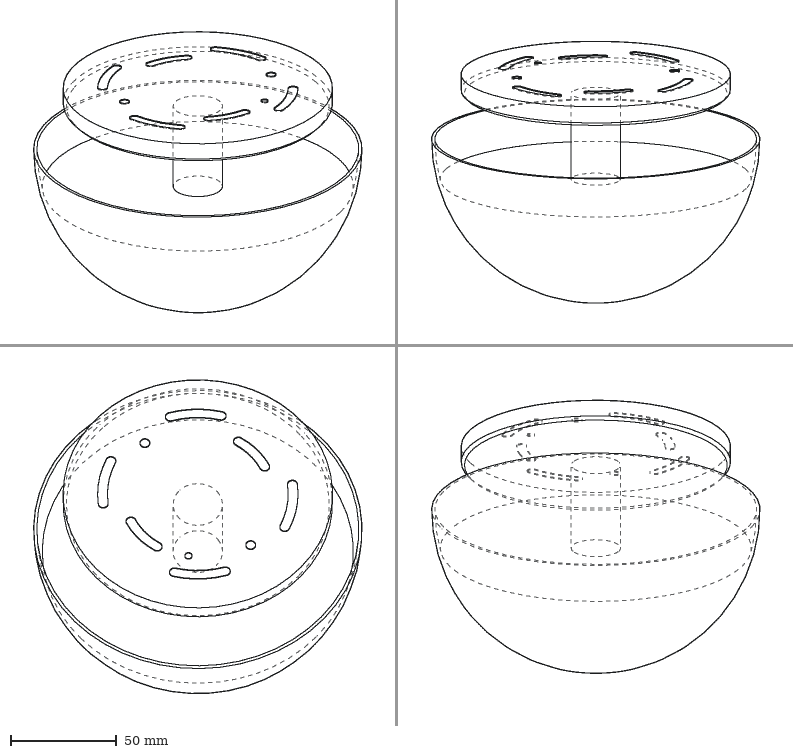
import cadquery as cq
import math

bowl_radius = 77.5
bowl_wall = 1.5
floor_depth = 19.5

total_height = 109.1
plate_radius = 63.5
plate_thickness = 9.5
plate_chamfer = 1.5
post_radius = 11.6
plate_top = total_height - bowl_radius
plate_bottom = plate_top - plate_thickness

recess_depth = 0.5
slot_width = 4.6
slot_half_angle = 15.5
outer_slot_radius = 45.0
outer_slot_angle = 50.0
side_slot_radius = 35.0
screw_hole_radius = 2.3
screw_hole_offset = 37.8
pin_hole_radius = 1.7
pin_hole_position = (26.0, 23.0)


def polar(radius, angle):
    """Point at a radius and an angle in degrees from +X."""
    radians = math.radians(angle)
    return radius * math.cos(radians), radius * math.sin(radians)


def make_bowl():
    """Half ball with a spherical-sided recess ending at a flat floor."""
    lower_half = cq.Workplane("XY").box(
        2 * bowl_radius, 2 * bowl_radius, bowl_radius, centered=(True, True, False)
    ).translate((0, 0, -bowl_radius))
    half_ball = cq.Workplane("XY").sphere(bowl_radius).intersect(lower_half)
    above_floor = cq.Workplane("XY").workplane(offset=-floor_depth).circle(bowl_radius).extrude(floor_depth)
    cavity = cq.Workplane("XY").sphere(bowl_radius - bowl_wall).intersect(above_floor)
    return half_ball.cut(cavity)


def make_plate():
    """Disc with a chamfered lower edge."""
    disc = cq.Workplane("XY").workplane(offset=plate_bottom).circle(plate_radius).extrude(plate_thickness)
    return disc.faces("<Z").edges().chamfer(plate_chamfer)


def make_post():
    """Column from the bowl floor to the underside of the plate."""
    return (
        cq.Workplane("XY").workplane(offset=-floor_depth)
        .circle(post_radius).extrude(floor_depth + plate_bottom)
    )


def recess_plane():
    return cq.Workplane("XY").workplane(offset=plate_top)


def make_slot(radius, middle_angle):
    """Round-ended slot that follows an arc about the plate axis."""
    start = middle_angle - slot_half_angle
    end = middle_angle + slot_half_angle
    inner = radius - slot_width / 2
    outer = radius + slot_width / 2
    cap_angle = math.degrees(2 * math.asin(slot_width / 4 / radius))
    return (
        recess_plane()
        .moveTo(*polar(outer, start))
        .threePointArc(polar(outer, middle_angle), polar(outer, end))
        .threePointArc(polar(radius, end + cap_angle), polar(inner, end))
        .threePointArc(polar(inner, middle_angle), polar(inner, start))
        .threePointArc(polar(radius, start - cap_angle), polar(outer, start))
        .close()
        .extrude(-recess_depth)
    )


def make_hole(radius, position):
    return recess_plane().center(*position).circle(radius).extrude(-recess_depth)


result = make_bowl().union(make_post()).union(make_plate())

for slot_angle in (outer_slot_angle, 180 - outer_slot_angle, 180 + outer_slot_angle, -outer_slot_angle):
    result = result.cut(make_slot(outer_slot_radius, slot_angle))

for slot_angle in (0, 180):
    result = result.cut(make_slot(side_slot_radius, slot_angle))

for side in (-1, 1):
    result = result.cut(make_hole(screw_hole_radius, (0, side * screw_hole_offset)))

result = result.cut(make_hole(pin_hole_radius, pin_hole_position))